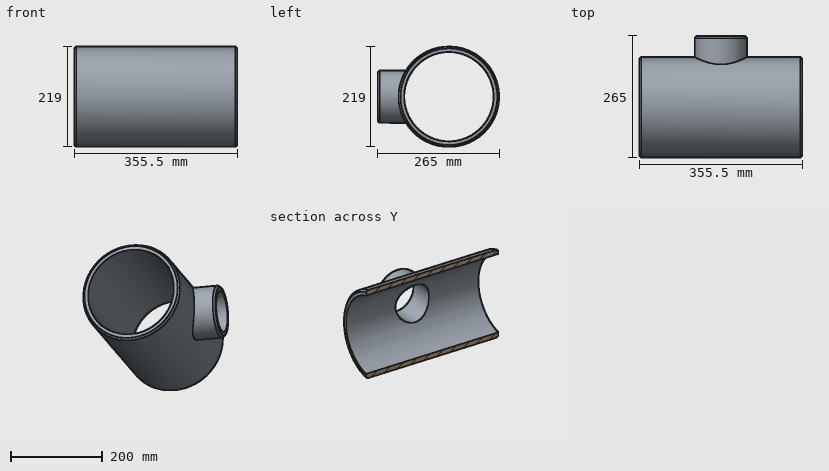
import cadquery as cq

run_length = 355.5
run_diameter = 219.0
run_wall = 12.5

branch_diameter = 114.5
branch_wall = 12.5
branch_reach = 155.5

bevel_axial = 4.5
bevel_radial = 4.3

bore_diameter = run_diameter - 2 * run_wall
branch_bore_diameter = branch_diameter - 2 * branch_wall


def bevel_profile(plane, diameter, start, end, bevel_start):
    """Revolve a solid bar about the local Y axis, bevelled at its end and optionally its start."""
    radius = diameter / 2
    tip_radius = radius - bevel_radial
    outline = cq.Workplane(plane).moveTo(0, start)
    if bevel_start:
        outline = outline.lineTo(tip_radius, start).lineTo(radius, start + bevel_axial)
    else:
        outline = outline.lineTo(radius, start)
    outline = outline.lineTo(radius, end - bevel_axial).lineTo(tip_radius, end).lineTo(0, end)
    return outline.close().revolve(360, (0, 0, 0), (0, 1, 0))


run = bevel_profile("YX", run_diameter, -run_length / 2, run_length / 2, True)
branch = bevel_profile("XY", branch_diameter, 0, branch_reach, False)

run_bore = cq.Workplane("YZ").circle(bore_diameter / 2).extrude(run_length / 2, both=True)
branch_bore = cq.Workplane("XZ").circle(branch_bore_diameter / 2).extrude(-branch_reach)

result = run.union(branch).cut(run_bore).cut(branch_bore)